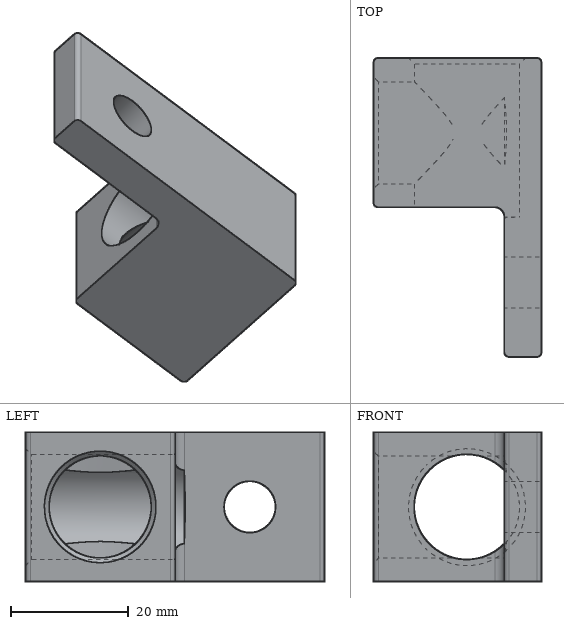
import cadquery as cq

width = 28.55
length = 50.8
height = 25.4
block_length = length / 2
arm_thickness = 6.35
arm_face_x = width - arm_thickness
block_front_y = length - block_length
mid_z = height / 2

corner_radius = 0.8
inner_radius = 1.6

long_bore_diameter = 17.85
long_bore_x = 15.85
long_bore_depth = block_length + inner_radius
long_bore_floor_slope = 0.06
long_bore_chamfer = 1.0

cross_bore_diameter = 17.3
cross_bore_y = block_front_y + block_length / 2
cross_bore_depth = arm_face_x
cross_bore_floor_slope = 0.13
cross_bore_chamfer = 0.8

mount_diameter = 8.7
mount_y = block_front_y / 2


def bore_tool(diameter, depth, floor_slope, mouth_chamfer):
    """Blind bore along +Z from the origin, with a chamfered mouth and a shallow conical end."""
    radius = diameter / 2
    return (
        cq.Workplane("XZ")
        .lineTo(radius + mouth_chamfer, 0)
        .lineTo(radius, mouth_chamfer)
        .lineTo(radius, depth)
        .lineTo(0, depth + radius * floor_slope)
        .close()
        .revolve(360, (0, 0, 0), (0, 1, 0))
    )


outline = [
    (0, length),
    (width, length),
    (width, 0),
    (arm_face_x, 0),
    (arm_face_x, block_front_y),
    (0, block_front_y),
]
body = cq.Workplane("XY").polyline(outline).close().extrude(height)
inner_corner = cq.selectors.NearestToPointSelector((arm_face_x, block_front_y, mid_z))
vertical_edges = cq.selectors.ParallelDirSelector(cq.Vector(0, 0, 1))
outer_corners = vertical_edges - inner_corner
body = body.edges(outer_corners).fillet(corner_radius)
body = body.edges(inner_corner).fillet(inner_radius)

long_bore = (
    bore_tool(long_bore_diameter, long_bore_depth, long_bore_floor_slope, long_bore_chamfer)
    .rotate((0, 0, 0), (1, 0, 0), 90)
    .translate((long_bore_x, length, mid_z))
)
cross_bore = (
    bore_tool(cross_bore_diameter, cross_bore_depth, cross_bore_floor_slope, cross_bore_chamfer)
    .rotate((0, 0, 0), (0, 1, 0), 90)
    .translate((0, cross_bore_y, mid_z))
)

mount_hole = (
    cq.Workplane("YZ")
    .center(mount_y, mid_z)
    .circle(mount_diameter / 2)
    .extrude(width)
)

result = body.cut(long_bore).cut(cross_bore).cut(mount_hole)